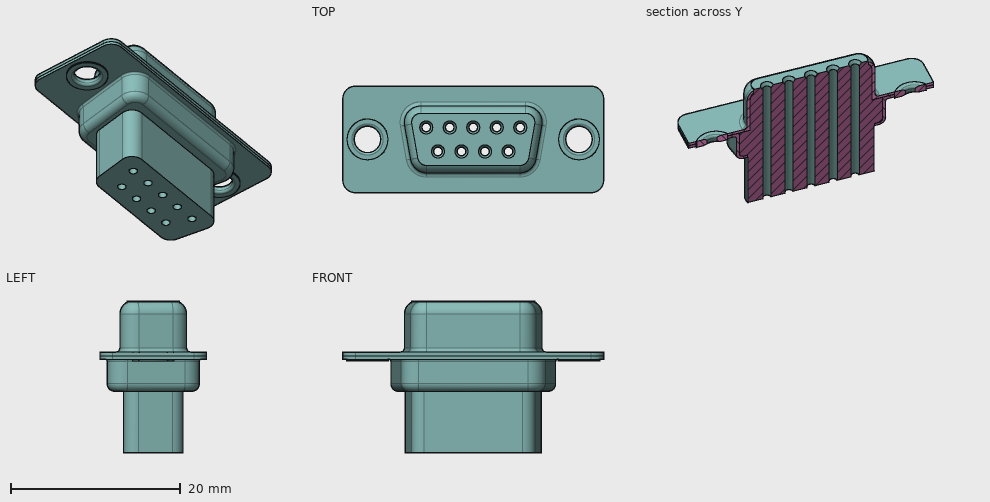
import cadquery as cq
import math


FLANGE_LENGTH = 30.8
FLANGE_WIDTH = 12.6
FLANGE_CORNER_RADIUS = 1.5
FRONT_FLANGE_THICKNESS = 0.45
REAR_FLANGE_THICKNESS = 0.4

D_SIDE_ANGLE = 10.0

SHEET_THICKNESS = 0.43
SNOUT_CENTRE_X = 6.2
SNOUT_CENTRE_Y = 2.0
SNOUT_CORNER_RADIUS = 1.95
SNOUT_OPENING_RADIUS = 1.08
SNOUT_RIM_RADIUS = 1.6
SNOUT_RIM_START_Z = 4.93
SNOUT_ROOT_RADIUS = 0.5

CUP_CENTRE_X = 7.67
CUP_CENTRE_Y = 3.4
CUP_CORNER_RADIUS = 2.05
CUP_END_Z = -4.2
CUP_END_RADIUS = 0.92
CUP_ROOT_RADIUS = 0.25

INSULATOR_FACE_Z = 6.47
INSULATOR_END_Z = -11.43
TAIL_CENTRE_X = 6.53
TAIL_CENTRE_Y = 2.0
TAIL_CORNER_RADIUS = 1.5

CONTACT_PITCH = 2.77
CONTACT_ROW_SPACING = 2.83
CONTACT_ROWS = ((5, CONTACT_ROW_SPACING / 2), (4, -CONTACT_ROW_SPACING / 2))
CONTACT_HOLE_RADIUS = 0.5
CONTACT_MOUTH_RADIUS = 0.77
CONTACT_MOUTH_DEPTH = 0.45

EYELET_OFFSET_X = 12.47
EYELET_RADIUS = 2.4
EYELET_LIP_RADIUS = 2.45
EYELET_HOLE_RADIUS = 1.55
EYELET_MOUTH_RADIUS = 0.3
EYELET_LIP_THICKNESS = 0.2

SNOUT_TOP_Z = SNOUT_RIM_START_Z + SNOUT_RIM_RADIUS


def d_prism(centre_x, centre_y, corner_radius, z_low, z_high):
    """Prism with a D outline: the long side at +Y, its corner centres at (+-centre_x, centre_y)."""
    short_centre_x = centre_x - 2 * centre_y * math.tan(math.radians(D_SIDE_ANGLE))
    corner_centres = [
        (-centre_x, centre_y),
        (-short_centre_x, -centre_y),
        (short_centre_x, -centre_y),
        (centre_x, centre_y),
    ]
    return (
        cq.Workplane("XY", origin=(0, 0, z_low))
        .polyline(corner_centres)
        .close()
        .offset2D(corner_radius)
        .extrude(z_high - z_low)
    )


def snout_prism(corner_radius, z_low, z_high):
    return d_prism(SNOUT_CENTRE_X, SNOUT_CENTRE_Y, corner_radius, z_low, z_high)


def cup_prism(corner_radius, z_low, z_high):
    return d_prism(CUP_CENTRE_X, CUP_CENTRE_Y, corner_radius, z_low, z_high)


def flange(z_low, z_high):
    """Rounded rectangular plate with the two mounting holes that hold the eyelets."""
    return (
        cq.Workplane("XY", origin=(0, 0, z_low))
        .rect(FLANGE_LENGTH, FLANGE_WIDTH)
        .extrude(z_high - z_low)
        .edges("|Z")
        .fillet(FLANGE_CORNER_RADIUS)
        .faces(">Z")
        .workplane(origin=(0, 0, z_high))
        .pushPoints([(-EYELET_OFFSET_X, 0), (EYELET_OFFSET_X, 0)])
        .hole(2 * EYELET_RADIUS)
    )


def root_edges(wall, z):
    """Box selector for the edges where a wall meets its flange face at height z."""
    box = wall.val().BoundingBox()
    margin = 0.05
    return cq.selectors.BoxSelector(
        (box.xmin - margin, box.ymin - margin, z - margin),
        (box.xmax + margin, box.ymax + margin, z + margin),
        boundingbox=True,
    )


def make_insulator_blank():
    """Insulator without contact holes; it fills both shells and is trapped between them."""
    front = snout_prism(SNOUT_CORNER_RADIUS - SHEET_THICKNESS, 0, SNOUT_TOP_Z - SHEET_THICKNESS)
    front = front.faces(">Z").edges().fillet(SNOUT_RIM_RADIUS - SHEET_THICKNESS)
    face = snout_prism(SNOUT_OPENING_RADIUS, 0, INSULATOR_FACE_Z)
    collar = cup_prism(CUP_CORNER_RADIUS - SHEET_THICKNESS, CUP_END_Z + SHEET_THICKNESS, 0)
    collar = collar.faces("<Z").edges().fillet(CUP_END_RADIUS - SHEET_THICKNESS)
    tail = d_prism(TAIL_CENTRE_X, TAIL_CENTRE_Y, TAIL_CORNER_RADIUS, INSULATOR_END_Z, 0)
    return front.union(face).union(collar).union(tail)


def make_front_shell(insulator_blank):
    snout = snout_prism(SNOUT_CORNER_RADIUS, 0, SNOUT_TOP_Z)
    snout = snout.faces(">Z").edges().fillet(SNOUT_RIM_RADIUS)
    shell = flange(0, FRONT_FLANGE_THICKNESS).union(snout)
    shell = shell.edges(root_edges(snout, FRONT_FLANGE_THICKNESS)).fillet(SNOUT_ROOT_RADIUS)
    opening = snout_prism(SNOUT_OPENING_RADIUS, 0, SNOUT_TOP_Z)
    return shell.cut(opening).cut(insulator_blank)


def make_rear_shell(insulator_blank):
    cup = cup_prism(CUP_CORNER_RADIUS, CUP_END_Z, 0)
    cup = cup.faces("<Z").edges().fillet(CUP_END_RADIUS)
    shell = flange(-REAR_FLANGE_THICKNESS, 0).union(cup)
    shell = shell.edges(root_edges(cup, -REAR_FLANGE_THICKNESS)).fillet(CUP_ROOT_RADIUS)
    return shell.cut(insulator_blank)


def contact_hole(x, y):
    """Through hole with a conical mouth in the insulator face, as a cutting tool."""
    profile = [
        (0, INSULATOR_END_Z),
        (CONTACT_HOLE_RADIUS, INSULATOR_END_Z),
        (CONTACT_HOLE_RADIUS, INSULATOR_FACE_Z - CONTACT_MOUTH_DEPTH),
        (CONTACT_MOUTH_RADIUS, INSULATOR_FACE_Z),
        (0, INSULATOR_FACE_Z),
    ]
    tool = cq.Workplane("XZ").polyline(profile).close().revolve(360, (0, 0), (0, 1))
    return tool.translate((x, y, 0))


def make_insulator(insulator_blank):
    insulator = insulator_blank
    for count, row_y in CONTACT_ROWS:
        for index in range(count):
            x = (index - (count - 1) / 2) * CONTACT_PITCH
            insulator = insulator.cut(contact_hole(x, row_y))
    return insulator


def make_eyelet(x):
    """Ring through both flanges: flush in front, a lip behind, and both bore mouths rounded."""
    lip = (
        cq.Workplane("XY", origin=(x, 0, -REAR_FLANGE_THICKNESS))
        .circle(EYELET_LIP_RADIUS)
        .extrude(-EYELET_LIP_THICKNESS)
    )
    return (
        cq.Workplane("XY", origin=(x, 0, -REAR_FLANGE_THICKNESS))
        .circle(EYELET_RADIUS)
        .extrude(REAR_FLANGE_THICKNESS + FRONT_FLANGE_THICKNESS)
        .union(lip)
        .faces(">Z")
        .workplane()
        .hole(2 * EYELET_HOLE_RADIUS)
        .edges(cq.selectors.RadiusNthSelector(0))
        .fillet(EYELET_MOUTH_RADIUS)
    )


blank = make_insulator_blank()
front_shell = make_front_shell(blank)
rear_shell = make_rear_shell(blank)
insulator_body = make_insulator(blank)
eyelets = [make_eyelet(x) for x in (-EYELET_OFFSET_X, EYELET_OFFSET_X)]

result = cq.Compound.makeCompound(
    [
        front_shell.val(),
        rear_shell.val(),
        insulator_body.val(),
        *[eyelet.val() for eyelet in eyelets],
    ]
)